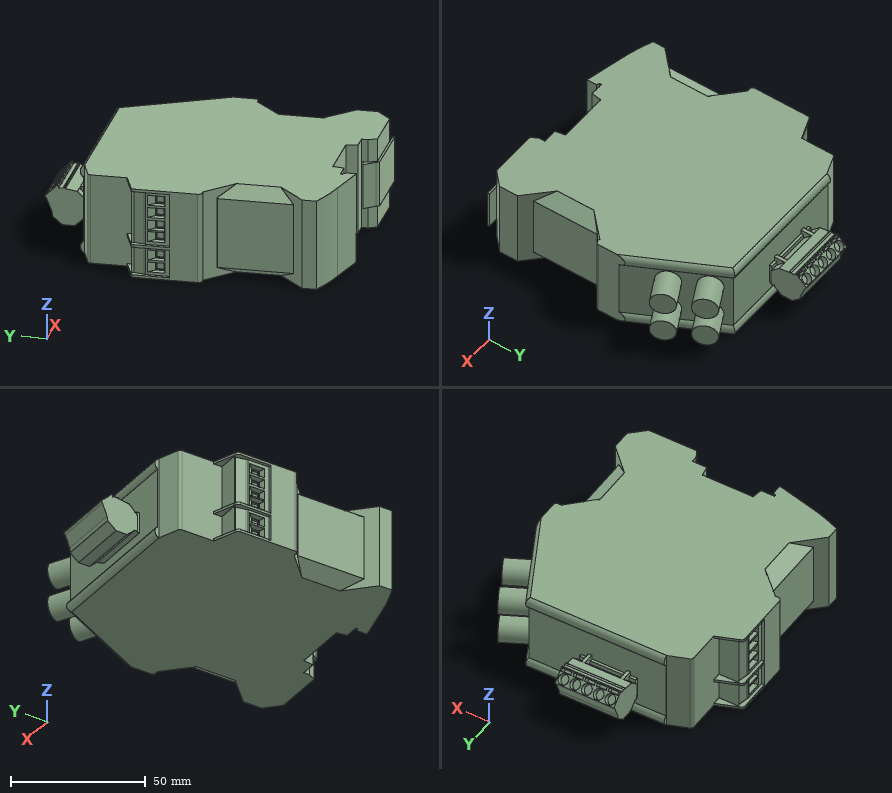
import cadquery as cq
import math

HOUSING_LENGTH = 98.9
HOUSING_WIDTH = 35.2
HOUSING_TOP = 101.2
HOUSING_BOTTOM = 1.0
CORNER_FILLET = 1.4

COVER_START = (19.9, HOUSING_TOP)
COVER_CORNER = (79.4, HOUSING_TOP)
COVER_END = (HOUSING_LENGTH, 62.3)
SHOULDER_X = 10.6
SHOULDER_BASE_Y = 83.0
SHOULDER_TOP_Y = 97.8
TERMINAL_TOP_Y = 79.0
FLANK_BOTTOM_Y = 52.5

WAIST_LEFT_X = 13.7
WAIST_RIGHT_X = 85.6
WAIST_BOTTOM_Y = 25.4
WAIST_TOP_Y = 42.1
INSERT_LEFT_X = 7.0
INSERT_RIGHT_X = 91.9
INSERT_BEVEL_Z = 3.9
INSERT_BOTTOM_Y = 18.5
INSERT_TOP_Y = 48.1

FOOT_LEFT_X = 2.7
FOOT_RIGHT_X = 96.2
FOOT_SIDE_Y = 14.9
RAIL_SEAT_Y = 6.7
RAIL_SLOT_Y = 11.1
RAIL_SLOT_CENTER_X = 49.4
RAIL_SLOT_HALF_WIDTH = 11.1
RAIL_SLOT_MOUTH_FLARE = 0.7
RAIL_CATCH_X = 31.8
RAIL_CATCH_TOP_Y = 6.0
RAIL_CATCH_BOTTOM_Y = 5.4
FOOT_TIP_X = 33.0
FOOT_ARC_START = (17.5, 4.6)
FOOT_ARC_MID = (10.0, 6.7)
FOOT_ARC_END = (FOOT_LEFT_X, 9.4)
RAIL_STOP_X = 67.5
RAIL_STOP_BEVEL_Y = 4.2
FOOT_BASE_START_X = 69.2
FOOT_BASE_END_X = 90.1

RIDGE_HEIGHT = 1.7
RIDGE_WIDTH = 4.9
PANEL_HEIGHT = 0.5
COVER_EMBED = 1.2
COVER_OVERRUN = 1.2

LATCH_Z = 8.8
LATCH_WIDTH = 17.5
LATCH_PLATE_START_X = 68.6
LATCH_PLATE_END_X = 94.6
LATCH_HOOK_TIP = (64.5, 5.5)
LATCH_HOOK_ROOT_X = 71.4
LATCH_HOOK_TOP_Y = 6.2
LATCH_HOOK_HEEL = (68.0, 1.2)

SOCKET_RADIUS = 5.1
SOCKET_END = (101.4, 85.1)
SOCKET_PITCH = 15.8
SOCKET_LENGTH = 14.3
SOCKET_Z = (10.5, 24.8)

PLUG_START_X = 31.8
PLUG_LENGTH = 25.7
PLUG_TIP = (119.0, 16.8)
PLUG_CREST = (114.5, 21.3)
PLUG_TOP_POINTS = ((113.9, 21.3), (113.7, 20.5), (112.0, 20.6), (111.3, 21.0), (111.2, 20.4))
PLUG_UNDERSIDE_POINTS = ((104.2, 8.9), (107.5, 5.8), (112.4, 5.8), (116.0, 8.9), (116.3, 10.8), (118.3, 15.8))
PLUG_NOSE_Y = 106.5
PLUG_NECK_Y = 102.8
PLUG_NECK_Z = 16.1
PLUG_NECK_TOP_Z = 17.9
PLUG_NECK_INSET = 0.6
PLUG_BOTTOM_Z = 8.9
PLUG_TOP_Z = 19.6
PLUG_RIB_WIDTH = 1.5
PLUG_RIB_X = (35.4, 52.3)
WIRE_COUNT = 5
WIRE_PITCH = 5.1
WIRE_HOLE_RADIUS = 2.1
WIRE_HOLE_DEPTH = 2.9
WIRE_SLOT_WIDTH = 4.2
WIRE_SLOT_HEIGHT = 1.3
WIRE_SLOT_DEPTH = 3.0
WIRE_HOLE_OFFSET = 0.7
WIRE_SLOT_OFFSET = 2.4

TERMINAL_RECESSES = ((1.1, 12.0), (13.1, 34.2))
TERMINAL_FACE_X = 1.3
TERMINAL_BROW_START = (1.5, 74.5)
TERMINAL_BROW_END = (2.4, 78.6)
TERMINAL_LEDGE_X = 1.9
TERMINAL_LEDGE_Y = 79.4
TERMINAL_STEP_Y = 73.9
TERMINAL_BOTTOM_Y = 64.6
WINDOW_TOP_Y = 73.2
WINDOW_BOTTOM_Y = 66.7
WINDOW_WIDTH = 3.9
WINDOW_DEPTH = 2.5
WINDOW_LIP = 0.6
CONTACT_MARGIN = 0.2
CONTACT_DEPTH = 1.0
WINDOW_Z = (4.2, 8.9, 16.3, 20.8, 25.8, 30.7)


def housing():
    """Main body with its waist, feet and rail seat."""
    slot_mouth_half_width = RAIL_SLOT_HALF_WIDTH + RAIL_SLOT_MOUTH_FLARE
    outline = (
        cq.Workplane("XY")
        .moveTo(*COVER_START)
        .lineTo(*COVER_CORNER)
        .lineTo(*COVER_END)
        .lineTo(HOUSING_LENGTH, FLANK_BOTTOM_Y)
        .lineTo(FOOT_RIGHT_X, FLANK_BOTTOM_Y)
        .lineTo(WAIST_RIGHT_X, WAIST_TOP_Y)
        .lineTo(WAIST_RIGHT_X, WAIST_BOTTOM_Y)
        .lineTo(FOOT_RIGHT_X, FOOT_SIDE_Y)
        .lineTo(FOOT_RIGHT_X, RAIL_SEAT_Y)
        .lineTo(FOOT_BASE_END_X, HOUSING_BOTTOM)
        .lineTo(FOOT_BASE_START_X, HOUSING_BOTTOM)
        .lineTo(RAIL_STOP_X, RAIL_STOP_BEVEL_Y)
        .lineTo(RAIL_STOP_X, RAIL_SEAT_Y)
        .lineTo(RAIL_SLOT_CENTER_X + slot_mouth_half_width, RAIL_SEAT_Y)
        .lineTo(RAIL_SLOT_CENTER_X + RAIL_SLOT_HALF_WIDTH, RAIL_SLOT_Y)
        .lineTo(RAIL_SLOT_CENTER_X - RAIL_SLOT_HALF_WIDTH, RAIL_SLOT_Y)
        .lineTo(RAIL_SLOT_CENTER_X - slot_mouth_half_width, RAIL_SEAT_Y)
        .lineTo(RAIL_CATCH_X, RAIL_SEAT_Y)
        .lineTo(RAIL_CATCH_X, RAIL_CATCH_TOP_Y)
        .lineTo(FOOT_TIP_X, RAIL_CATCH_BOTTOM_Y)
        .lineTo(FOOT_TIP_X, HOUSING_BOTTOM)
        .lineTo(*FOOT_ARC_START)
        .threePointArc(FOOT_ARC_MID, FOOT_ARC_END)
        .lineTo(FOOT_LEFT_X, FOOT_SIDE_Y)
        .lineTo(WAIST_LEFT_X, WAIST_BOTTOM_Y)
        .lineTo(WAIST_LEFT_X, WAIST_TOP_Y)
        .lineTo(FOOT_LEFT_X, FLANK_BOTTOM_Y)
        .lineTo(0, FLANK_BOTTOM_Y)
        .lineTo(0, TERMINAL_TOP_Y)
        .lineTo(SHOULDER_X, SHOULDER_BASE_Y)
        .lineTo(SHOULDER_X, SHOULDER_TOP_Y)
        .close()
    )
    body = outline.extrude(HOUSING_WIDTH)
    rounded_corners = (
        (0, FLANK_BOTTOM_Y),
        (0, TERMINAL_TOP_Y),
        (SHOULDER_X, SHOULDER_TOP_Y),
        (HOUSING_LENGTH, FLANK_BOTTOM_Y),
    )
    for x, y in rounded_corners:
        corner_edge = cq.selectors.NearestToPointSelector((x, y, HOUSING_WIDTH / 2))
        body = body.edges("|Z").edges(corner_edge).fillet(CORNER_FILLET)
    return body


def waist_insert(inner_x, outer_x):
    """Block that fills a waist pocket, bevelled towards its outer face."""
    section = [
        (inner_x, 0),
        (outer_x, INSERT_BEVEL_Z),
        (outer_x, HOUSING_WIDTH - INSERT_BEVEL_Z),
        (inner_x, HOUSING_WIDTH),
    ]
    plane = cq.Workplane("XZ", origin=(0, INSERT_TOP_Y, 0))
    return plane.polyline(section).close().extrude(INSERT_TOP_Y - INSERT_BOTTOM_Y)


def cover_strip():
    """Ridged strip that follows the top edge and the sloped edge."""
    path = cq.Workplane("XY").polyline(
        [
            COVER_START,
            COVER_CORNER,
            (
                COVER_CORNER[0] + COVER_OVERRUN * (COVER_END[0] - COVER_CORNER[0]),
                COVER_CORNER[1] + COVER_OVERRUN * (COVER_END[1] - COVER_CORNER[1]),
            ),
        ]
    )
    section_plane = cq.Plane(origin=(*COVER_START, 0), xDir=(0, 0, 1), normal=(-1, 0, 0))
    strip = (
        cq.Workplane(section_plane)
        .moveTo(0, -COVER_EMBED)
        .lineTo(0, 0)
        .threePointArc((RIDGE_WIDTH / 2, RIDGE_HEIGHT), (RIDGE_WIDTH, PANEL_HEIGHT))
        .lineTo(HOUSING_WIDTH - RIDGE_WIDTH, PANEL_HEIGHT)
        .threePointArc((HOUSING_WIDTH - RIDGE_WIDTH / 2, RIDGE_HEIGHT), (HOUSING_WIDTH, 0))
        .lineTo(HOUSING_WIDTH, -COVER_EMBED)
        .close()
        .sweep(path, transition="right")
    )
    envelope = cq.Workplane("XY").box(HOUSING_LENGTH, PLUG_TIP[0], HOUSING_WIDTH, centered=False)
    return strip.intersect(envelope)


def latch():
    """Base plate under the foot with a hook that reaches into the rail seat."""
    plate = [
        (LATCH_PLATE_START_X, 0),
        (LATCH_PLATE_END_X, 0),
        (LATCH_PLATE_END_X, HOUSING_BOTTOM),
        (LATCH_PLATE_START_X, HOUSING_BOTTOM),
    ]
    hook = [
        LATCH_HOOK_TIP,
        LATCH_HOOK_HEEL,
        (LATCH_PLATE_START_X, 0),
        (LATCH_HOOK_ROOT_X, 0),
        (LATCH_HOOK_ROOT_X, LATCH_HOOK_TOP_Y),
        (RAIL_STOP_X, LATCH_HOOK_TOP_Y),
    ]
    plane = cq.Workplane("XY", origin=(0, 0, LATCH_Z))
    plate_solid = plane.polyline(plate).close().extrude(LATCH_WIDTH)
    hook_solid = plane.polyline(hook).close().extrude(LATCH_WIDTH)
    return plate_solid.union(hook_solid)


def sockets():
    """Round sockets square to the sloped edge, two along it and two across the width."""
    run_x = COVER_END[0] - COVER_CORNER[0]
    run_y = COVER_END[1] - COVER_CORNER[1]
    run_length = math.hypot(run_x, run_y)
    along = cq.Vector(run_x / run_length, run_y / run_length, 0)
    outward = cq.Vector(-along.y, along.x, 0)
    group = cq.Workplane("XY")
    for step in range(2):
        for z in SOCKET_Z:
            end = cq.Vector(*SOCKET_END, z) - along * (step * SOCKET_PITCH)
            base = end - outward * SOCKET_LENGTH
            group = group.add(cq.Solid.makeCylinder(SOCKET_RADIUS, SOCKET_LENGTH, base, outward))
    return group.combine()


def plug():
    """Plug on a narrow neck, with ribs and rows of wire entries."""
    def side_profile(points, start_x, length):
        return cq.Workplane("YZ", origin=(start_x, 0, 0)).polyline(points).close().extrude(length)

    body_points = [
        PLUG_TIP,
        PLUG_CREST,
        *PLUG_TOP_POINTS,
        (PLUG_NOSE_Y, PLUG_TOP_Z),
        (PLUG_NECK_Y, PLUG_NECK_Z),
        (PLUG_NECK_Y, PLUG_BOTTOM_Z),
        *PLUG_UNDERSIDE_POINTS,
    ]
    neck_points = [
        (PLUG_NECK_Y, PLUG_BOTTOM_Z),
        (PLUG_NECK_Y, PLUG_NECK_TOP_Z),
        (HOUSING_TOP, PLUG_NECK_TOP_Z),
        (HOUSING_TOP, PLUG_BOTTOM_Z),
    ]
    rib_points = [
        (PLUG_NOSE_Y, PLUG_TOP_Z),
        (PLUG_NECK_Y, PLUG_NECK_Z),
        (HOUSING_TOP, PLUG_NECK_Z),
        (HOUSING_TOP, PLUG_TOP_Z),
    ]
    solid = side_profile(body_points, PLUG_START_X, PLUG_LENGTH)
    neck_start_x = PLUG_START_X + PLUG_NECK_INSET
    neck_length = PLUG_LENGTH - 2 * PLUG_NECK_INSET
    solid = solid.union(side_profile(neck_points, neck_start_x, neck_length))
    for x in PLUG_RIB_X:
        solid = solid.union(side_profile(rib_points, x, PLUG_RIB_WIDTH))

    face_plane = cq.Plane(
        origin=(
            PLUG_START_X + PLUG_LENGTH / 2,
            (PLUG_TIP[0] + PLUG_CREST[0]) / 2,
            (PLUG_TIP[1] + PLUG_CREST[1]) / 2,
        ),
        xDir=(1, 0, 0),
        normal=(0, PLUG_CREST[1] - PLUG_TIP[1], PLUG_TIP[0] - PLUG_CREST[0]),
    )
    holes = (
        cq.Workplane(face_plane)
        .center(0, WIRE_HOLE_OFFSET)
        .rarray(WIRE_PITCH, 1.2, WIRE_COUNT, 1)
        .circle(WIRE_HOLE_RADIUS)
        .extrude(-WIRE_HOLE_DEPTH)
    )
    slots = (
        cq.Workplane(face_plane)
        .center(0, -WIRE_SLOT_OFFSET)
        .rarray(WIRE_PITCH, 1.2, WIRE_COUNT, 1)
        .rect(WIRE_SLOT_WIDTH, WIRE_SLOT_HEIGHT)
        .extrude(-WIRE_SLOT_DEPTH)
    )
    return solid.cut(holes).cut(slots)


def terminal_recess(bottom_z, top_z):
    """Space in front of a terminal block, open to the left and to the shoulder."""
    removed = [
        (0, TERMINAL_BOTTOM_Y),
        (TERMINAL_FACE_X, TERMINAL_BOTTOM_Y),
        (TERMINAL_FACE_X, TERMINAL_STEP_Y),
        TERMINAL_BROW_START,
        TERMINAL_BROW_END,
        (TERMINAL_LEDGE_X, TERMINAL_LEDGE_Y),
        (SHOULDER_X, TERMINAL_LEDGE_Y),
        (SHOULDER_X, SHOULDER_BASE_Y),
        (0, SHOULDER_BASE_Y),
    ]
    plane = cq.Workplane("XY", origin=(0, 0, bottom_z))
    return plane.polyline(removed).close().extrude(top_z - bottom_z)


def terminal_window(center_z):
    """Wire window with a 45 degree lead-in and a smaller contact pocket in its flat floor."""
    floor_x = TERMINAL_FACE_X + WINDOW_DEPTH
    floor_top_y = WINDOW_TOP_Y - WINDOW_DEPTH
    floor_bottom_y = WINDOW_BOTTOM_Y + WINDOW_LIP
    removed = [
        (TERMINAL_FACE_X, WINDOW_TOP_Y),
        (floor_x, floor_top_y),
        (floor_x, floor_bottom_y),
        (TERMINAL_FACE_X, WINDOW_BOTTOM_Y),
    ]
    plane = cq.Workplane("XY", origin=(0, 0, center_z - WINDOW_WIDTH / 2))
    window = plane.polyline(removed).close().extrude(WINDOW_WIDTH)
    contact_pocket = cq.Workplane("XY").box(
        2 * CONTACT_DEPTH,
        floor_top_y - floor_bottom_y - 2 * CONTACT_MARGIN,
        WINDOW_WIDTH - 2 * CONTACT_MARGIN,
    )
    contact_pocket = contact_pocket.translate((floor_x, (floor_top_y + floor_bottom_y) / 2, center_z))
    return window.union(contact_pocket)


result = (
    housing()
    .union(waist_insert(WAIST_LEFT_X, INSERT_LEFT_X))
    .union(waist_insert(WAIST_RIGHT_X, INSERT_RIGHT_X))
    .union(cover_strip())
    .union(latch())
    .union(sockets())
    .union(plug())
)
for recess_bottom, recess_top in TERMINAL_RECESSES:
    result = result.cut(terminal_recess(recess_bottom, recess_top))
for window_z in WINDOW_Z:
    result = result.cut(terminal_window(window_z))